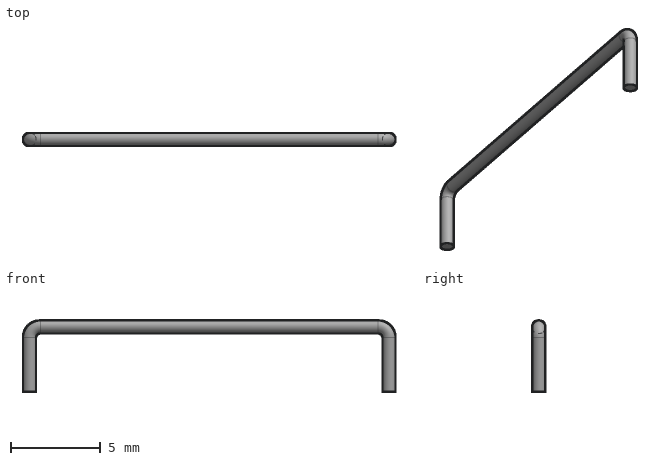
import cadquery as cq

length = 20.75
height = 3.98
wire_diameter = 0.75
bend_radius = 0.6

wire_radius = wire_diameter / 2
leg_x = length / 2 - wire_radius
bar_z = height - wire_radius
leg_top_z = bar_z - bend_radius
bar_end_x = leg_x - bend_radius

centreline = (
    cq.Workplane("XZ")
    .moveTo(-leg_x, 0)
    .lineTo(-leg_x, leg_top_z)
    .tangentArcPoint((-bar_end_x, bar_z), relative=False)
    .lineTo(bar_end_x, bar_z)
    .tangentArcPoint((leg_x, leg_top_z), relative=False)
    .lineTo(leg_x, 0)
)

result = (
    cq.Workplane("XY")
    .center(-leg_x, 0)
    .circle(wire_radius)
    .sweep(centreline)
)